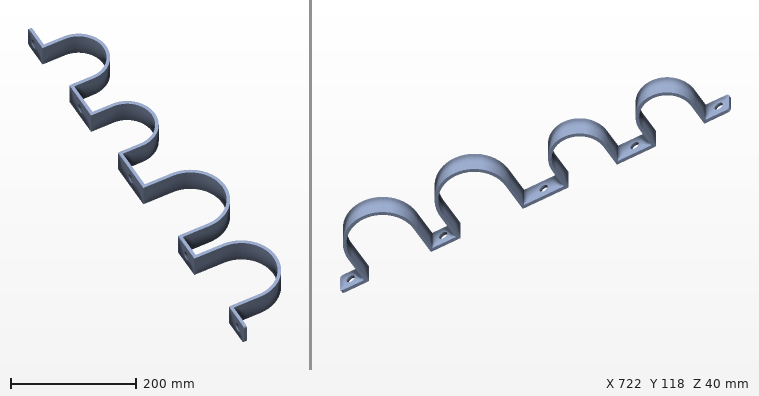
import cadquery as cq

length = 722.0
width = 40.0
thickness = 6.0

total_depth = 118.0
large_radius = 63.5
small_radius = 50.5
large_spring = total_depth - large_radius
small_spring = 41.0
clips = [
    (94.0, small_radius, small_spring),
    (256.0, small_radius, small_spring),
    (444.0, large_radius, large_spring),
    (614.5, large_radius, large_spring),
]

hole_diameter = 15.0
hole_positions = [19.5, 175.5, 344.5, 531.0, 702.5]
corner_radius = 6.0


def make_clip(center_x, outer_radius, spring_y):
    """Flat strip swept up one leg, around the arc and down the other leg."""
    mid_radius = outer_radius - thickness / 2
    left = center_x - mid_radius
    right = center_x + mid_radius
    path = (
        cq.Workplane("XY")
        .moveTo(left, thickness)
        .lineTo(left, spring_y)
        .threePointArc((center_x, spring_y + mid_radius), (right, spring_y))
        .lineTo(right, thickness)
    )
    section = cq.Workplane("XZ", origin=(left, thickness, 0)).rect(thickness, width)
    return section.sweep(path, clean=False)


def make_foot(start_x, end_x, hole_x):
    """Plate carrying one bolt hole, reaching under the legs beside it."""
    plate = cq.Workplane("XY").box(
        end_x - start_x, thickness, width, centered=(False, False, True)
    ).translate((start_x, 0, 0))
    hole = (
        cq.Workplane("XZ", origin=(hole_x, 0, 0))
        .circle(hole_diameter / 2)
        .extrude(-thickness)
    )
    return plate.cut(hole)


foot_starts = [0.0] + [x + radius - thickness for x, radius, _ in clips]
foot_ends = [x - radius + thickness for x, radius, _ in clips] + [length]
feet = [
    make_foot(start, end, hole_x)
    for start, end, hole_x in zip(foot_starts, foot_ends, hole_positions)
]

feet[0] = feet[0].faces("<X").edges("|Y").fillet(corner_radius)
feet[-1] = feet[-1].faces(">X").edges("|Y").fillet(corner_radius)

arched_clips = [make_clip(*clip) for clip in clips]

result = cq.Compound.makeCompound([body.val() for body in feet + arched_clips])